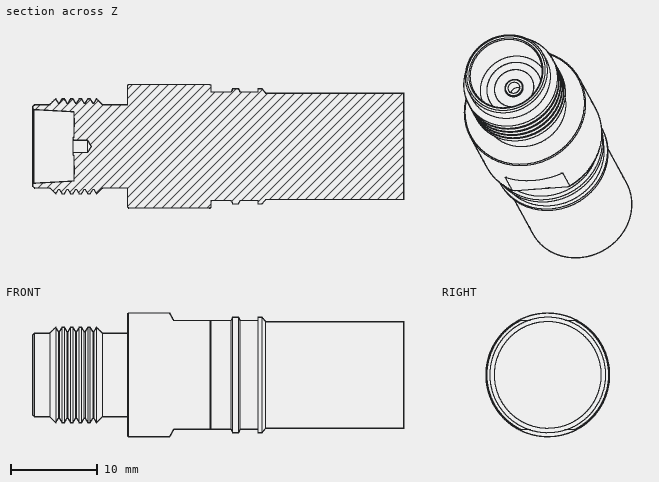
import cadquery as cq
import math

length = 43.1
thread_start = 2.0
collar_start = 11.0
collar_end = 20.75
front_ring_start = 23.05
front_ring_end = 24.1
rear_ring_start = 26.15
rear_ring_crest_end = 26.65
rear_ring_end = 27.05

lip_radius = 4.85
thread_radius = 5.55
collar_radius = 7.2
sleeve_radius = 6.35
ring_radius = 6.72
tail_radius = 6.2

lip_chamfer = 0.2
collar_chamfer = 0.15
front_ring_ramp = 0.17

thread_pitch = 1.0
groove_count = 5
groove_root_radius = 5.05
groove_root_width = 0.15
groove_flank_angle = 30.0
thread_runout = thread_radius - lip_radius
groove_half_width = (
    groove_root_width / 2
    + (thread_radius - groove_root_radius) * math.tan(math.radians(groove_flank_angle))
)
first_crest = thread_start + thread_runout
first_groove = first_crest + groove_half_width
last_crest = first_groove + (groove_count - 1) * thread_pitch + groove_half_width
thread_end = last_crest + thread_runout

flat_height = sleeve_radius
flat_start = 16.38
flat_slope_length = 0.47

socket_depth = 4.8
socket_mouth_radius = 4.4
socket_taper_radius = 4.25
socket_mouth_chamfer = 0.15
socket_floor_radius = 4.0
floor_groove_outer_radius = 3.25
floor_groove_inner_radius = 2.33
floor_groove_depth = 0.05

contact_radius = 1.08
contact_height = 0.15
contact_chamfer = 0.1
contact_tip = socket_depth - contact_height
contact_hole_radius = 0.7
contact_hole_depth = 1.72
drill_point_angle = 118.0


def revolve_about_x(points):
    """Revolve a closed (x, radius) outline about the X axis."""
    outline = cq.Workplane("XY").polyline(points).close()
    return outline.revolve(360, (0, 0, 0), (1, 0, 0))


def outer_body():
    return revolve_about_x([
        (0, 0),
        (0, lip_radius - lip_chamfer),
        (lip_chamfer, lip_radius),
        (thread_start, lip_radius),
        (first_crest, thread_radius),
        (last_crest, thread_radius),
        (thread_end, lip_radius),
        (collar_start, lip_radius),
        (collar_start, collar_radius - collar_chamfer),
        (collar_start + collar_chamfer, collar_radius),
        (collar_end - collar_chamfer, collar_radius),
        (collar_end, collar_radius - collar_chamfer),
        (collar_end, sleeve_radius),
        (front_ring_start, sleeve_radius),
        (front_ring_start + front_ring_ramp, ring_radius),
        (front_ring_end - front_ring_ramp, ring_radius),
        (front_ring_end, sleeve_radius),
        (rear_ring_start, sleeve_radius),
        (rear_ring_start, ring_radius),
        (rear_ring_crest_end, ring_radius),
        (rear_ring_end, tail_radius),
        (length, tail_radius),
        (length, 0),
    ])


def thread_groove(center):
    root_half_width = groove_root_width / 2
    return revolve_about_x([
        (center - groove_half_width, thread_radius),
        (center - root_half_width, groove_root_radius),
        (center + root_half_width, groove_root_radius),
        (center + groove_half_width, thread_radius),
    ])


def wrench_flat():
    """Cutter that leaves the flat on the +Z side of the collar."""
    return (
        cq.Workplane("XZ")
        .polyline([
            (flat_start - flat_slope_length, collar_radius),
            (flat_start, flat_height),
            (collar_end, flat_height),
            (collar_end, collar_radius),
        ])
        .close()
        .extrude(collar_radius, both=True)
    )


def socket():
    return revolve_about_x([
        (0, 0),
        (0, socket_mouth_radius),
        (socket_mouth_chamfer, socket_taper_radius),
        (socket_depth, socket_floor_radius),
        (socket_depth, 0),
    ])


def floor_groove():
    groove_bottom = socket_depth + floor_groove_depth
    return revolve_about_x([
        (socket_depth, floor_groove_inner_radius),
        (socket_depth, floor_groove_outer_radius),
        (groove_bottom, floor_groove_outer_radius),
        (groove_bottom, floor_groove_inner_radius),
    ])


def contact():
    foot = socket_depth + contact_height
    return revolve_about_x([
        (contact_tip, 0),
        (contact_tip, contact_radius - contact_chamfer),
        (contact_tip + contact_chamfer, contact_radius),
        (foot, contact_radius),
        (foot, 0),
    ])


def contact_hole():
    """Blind hole with a conical drill point."""
    hole_bottom = contact_tip + contact_hole_depth
    point_length = contact_hole_radius / math.tan(math.radians(drill_point_angle / 2))
    return revolve_about_x([
        (contact_tip, 0),
        (contact_tip, contact_hole_radius),
        (hole_bottom, contact_hole_radius),
        (hole_bottom + point_length, 0),
    ])


result = outer_body()

for index in range(groove_count):
    result = result.cut(thread_groove(first_groove + index * thread_pitch))

for turn in (0, 180):
    result = result.cut(wrench_flat().rotate((0, 0, 0), (1, 0, 0), turn))

result = result.cut(socket()).cut(floor_groove())
result = result.union(contact()).cut(contact_hole())